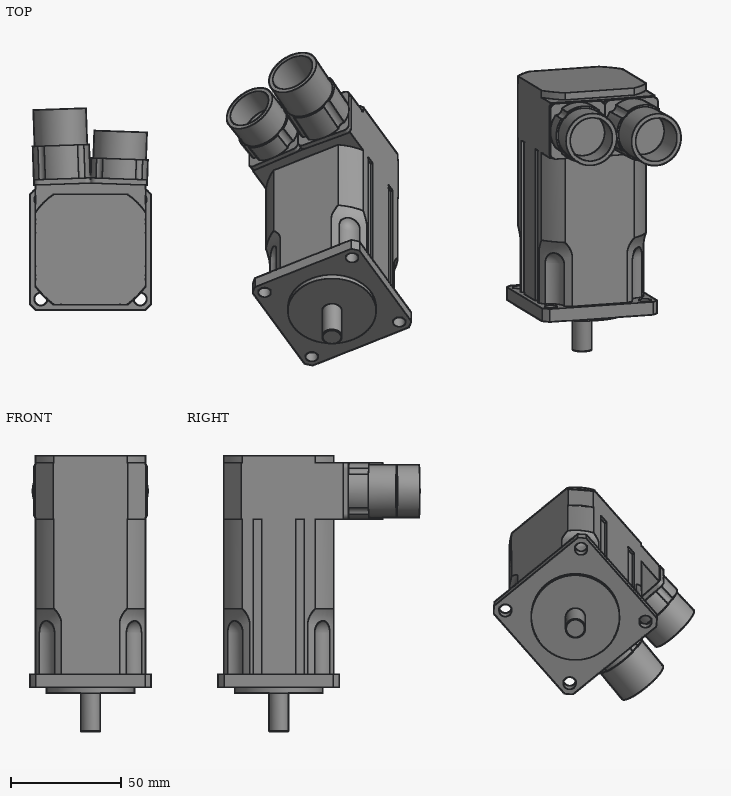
import cadquery as cq
import math


flange_width = 55.0
flange_corner_diameter = 74.0
flange_thickness = 6.0
mounting_hole_diameter = 5.8
mounting_hole_offset = 22.5
pilot_diameter = 40.0
pilot_height = 2.5
shaft_diameter = 9.0
shaft_length = 20.0
shaft_chamfer = 0.4

body_width = 50.0
body_corner_diameter = 60.0
body_top = 105.0

relief_diameter = 56.5
relief_top = 35.8
relief_straight_top = 28.8
screw_groove_radius = 6.2
screw_groove_straight_top = 25.0

side_groove_width = 4.0
side_groove_offset = 9.6
side_groove_depth = 1.0

head_bottom = 76.1
head_height = 25.6
head_front_chamfer = 8.1
head_peak_y = 30.0
connector_tilt = 2.0

collar_diameter = 25.8
plate_width = 25.6
plate_height = head_height
plate_thickness = 2.4
plate_corner_radius = 2.5
scallop_radius = 2.8
barrel_diameter = 24.0
bore_diameter = 20.0
long_collar_length = 15.1
long_barrel_length = 16.5
short_collar_length = 9.0
short_barrel_length = 12.5

half_body = body_width / 2
head_top = head_bottom + head_height
head_middle_z = head_bottom + head_height / 2
head_edge_y = head_peak_y - half_body * math.tan(math.radians(connector_tilt))
corner_signs = [(sx, sy) for sx in (-1, 1) for sy in (-1, 1)]


def cylinder(diameter, bottom, top):
    """Cylinder on the motor axis."""
    return cq.Workplane("XY").workplane(offset=bottom).circle(diameter / 2).extrude(top - bottom)


def rounded_square(width, corner_diameter, bottom, top):
    """Square prism whose corners are trimmed by a cylinder on the motor axis."""
    square = cq.Workplane("XY").workplane(offset=bottom).rect(width, width).extrude(top - bottom)
    return square.intersect(cylinder(corner_diameter, bottom, top))


def make_flange():
    hole_spacing = 2 * mounting_hole_offset
    flange = rounded_square(flange_width, flange_corner_diameter, 0, flange_thickness)
    holes = (
        cq.Workplane("XY")
        .rect(hole_spacing, hole_spacing, forConstruction=True)
        .vertices()
        .circle(mounting_hole_diameter / 2)
        .extrude(flange_thickness)
    )
    return flange.cut(holes)


def make_shaft():
    shaft = cylinder(shaft_diameter, -shaft_length, 0)
    return shaft.faces("<Z").chamfer(shaft_chamfer)


def make_corner_relief():
    """Ring outside the relief cylinder, ending in a concave arc that runs out at the body corners."""
    inner = relief_diameter / 2
    outer = body_corner_diameter / 2
    beyond = body_width
    step = outer - inner
    rise = relief_top - relief_straight_top
    arc_radius = (step**2 + rise**2) / (2 * step)
    half_angle = math.atan2(rise, arc_radius - step) / 2
    arc_middle = (
        inner + arc_radius * (1 - math.cos(half_angle)),
        relief_straight_top + arc_radius * math.sin(half_angle),
    )
    return (
        cq.Workplane("XZ")
        .moveTo(inner, flange_thickness)
        .lineTo(inner, relief_straight_top)
        .threePointArc(arc_middle, (outer, relief_top))
        .lineTo(beyond, relief_top)
        .lineTo(beyond, flange_thickness)
        .close()
        .revolve(360, (0, 0, 0), (0, 1, 0))
    )


def make_screw_groove(x, y):
    """Round-ended groove above one mounting hole."""
    straight = (
        cq.Workplane("XY", origin=(x, y, flange_thickness))
        .circle(screw_groove_radius)
        .extrude(screw_groove_straight_top - flange_thickness)
    )
    dome = cq.Workplane("XY", origin=(x, y, screw_groove_straight_top)).sphere(screw_groove_radius)
    upper_half = (
        cq.Workplane("XY", origin=(x, y, screw_groove_straight_top))
        .circle(screw_groove_radius)
        .extrude(screw_groove_radius)
    )
    return straight.union(dome.intersect(upper_half))


def make_side_groove(x_sign, y_sign):
    return (
        cq.Workplane("XY", origin=(x_sign * half_body, y_sign * side_groove_offset, flange_thickness))
        .rect(2 * side_groove_depth, side_groove_width)
        .extrude(head_bottom - flange_thickness)
    )


def make_body():
    body = rounded_square(body_width, body_corner_diameter, flange_thickness, head_bottom)
    body = body.cut(make_corner_relief())
    for x_sign, y_sign in corner_signs:
        body = body.cut(make_screw_groove(x_sign * mounting_hole_offset, y_sign * mounting_hole_offset))
        body = body.cut(make_side_groove(x_sign, y_sign))
    return body


def make_head():
    """Terminal block with a shallow peaked rear face that carries the connectors."""
    front_half_width = half_body - head_front_chamfer
    return (
        cq.Workplane("XY", origin=(0, 0, head_bottom))
        .polyline(
            [
                (-front_half_width, -half_body),
                (front_half_width, -half_body),
                (half_body, -front_half_width),
                (half_body, head_edge_y),
                (0, head_peak_y),
                (-half_body, head_edge_y),
                (-half_body, -front_half_width),
            ]
        )
        .close()
        .extrude(head_height)
    )


def make_cap():
    """Top cover above the terminal head, with the same rounded outline as the body."""
    return rounded_square(body_width, body_corner_diameter, head_top, body_top)


def make_housing():
    pilot = cylinder(pilot_diameter, -pilot_height, 0)
    housing = make_flange().union(pilot).union(make_shaft())
    return housing.union(make_body()).union(make_head()).union(make_cap())


def make_connector(side, collar_length, barrel_length):
    """Connector on the left (side = -1) or right (side = 1) half of the head's rear face."""
    collar_end = plate_thickness + collar_length
    scallop_offset = plate_width / 2 - plate_corner_radius

    def rear_plane(distance):
        return cq.Workplane("XZ", origin=(0, distance, 0))

    plate = (
        rear_plane(0)
        .rect(plate_width, plate_height)
        .extrude(-plate_thickness)
        .edges("|Y")
        .fillet(plate_corner_radius)
    )
    collar = rear_plane(plate_thickness).circle(collar_diameter / 2).extrude(-collar_length)
    scallops = (
        rear_plane(plate_thickness)
        .rect(2 * scallop_offset, 2 * scallop_offset, forConstruction=True)
        .vertices()
        .circle(scallop_radius)
        .extrude(-collar_length)
    )
    barrel = rear_plane(collar_end).circle(barrel_diameter / 2).extrude(-barrel_length)
    bore = rear_plane(collar_end).circle(bore_diameter / 2).extrude(-barrel_length)
    connector = plate.union(collar.cut(scallops)).union(barrel).cut(bore)
    return (
        connector.translate((side * plate_width / 2, 0, 0))
        .rotate((0, 0, 0), (0, 0, 1), -side * connector_tilt)
        .translate((0, head_peak_y, head_middle_z))
    )


housing = make_housing()
long_connector = make_connector(-1, long_collar_length, long_barrel_length)
short_connector = make_connector(1, short_collar_length, short_barrel_length)

result = cq.Compound.makeCompound([housing.val(), long_connector.val(), short_connector.val()])